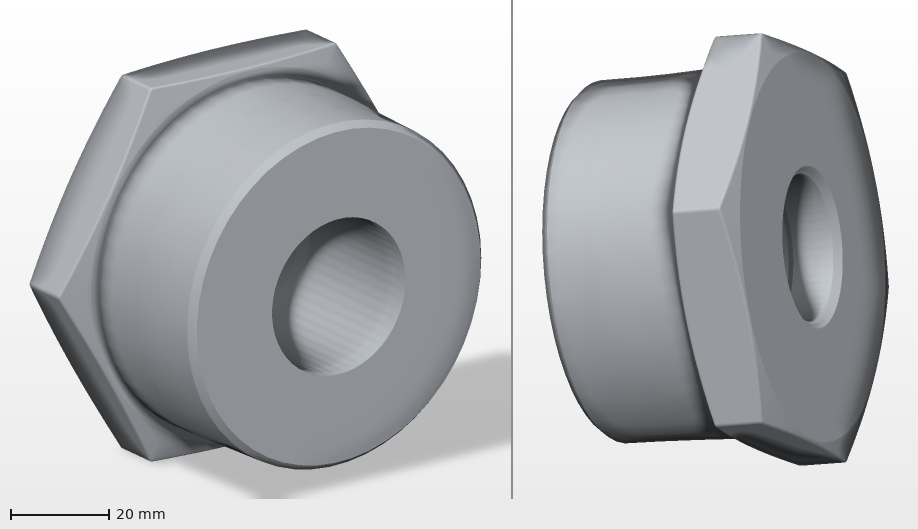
import cadquery as cq
import math

total_length = 45.0
hex_thickness = 14.0

across_flats = 81.0
edge_round = 1.0
rim_round = 0.6
chamfer_angle = 15.0
face_diameter = 79.8
envelope_margin = 0.9

thread_diameter = 75.8
straight_end = 18.4
root_round = 0.3
tip_chamfer_length = 1.6
tip_chamfer_depth = 1.3
taper = 1 / 16

bore_diameter = 30.3
countersink_diameter = 33.3
relief_diameter = 33.65
relief_start = 10.3


def revolve_about_x(points):
    """Revolve a closed (x, radius) outline about the X axis."""
    return cq.Workplane("XY").polyline(points).close().revolve(360, (0, 0, 0), (1, 0, 0))


def hex_head():
    """Hexagon with flats facing +Z and -Z, its corners turned off by a cone on both faces."""
    corner_diameter = across_flats / math.cos(math.radians(30))
    prism = (
        cq.Workplane("YZ")
        .polygon(6, corner_diameter)
        .extrude(hex_thickness)
        .edges("|X")
        .fillet(edge_round)
    )
    face_radius = face_diameter / 2
    outer_radius = corner_diameter / 2 + envelope_margin
    cone_depth = (outer_radius - face_radius) * math.tan(math.radians(chamfer_angle))
    envelope = revolve_about_x([
        (0, 0),
        (0, face_radius),
        (cone_depth, outer_radius),
        (hex_thickness - cone_depth, outer_radius),
        (hex_thickness, face_radius),
        (hex_thickness, 0),
    ])
    head = prism.intersect(envelope)
    return head.edges("not (|X or %CIRCLE)").fillet(rim_round)


def threaded_end():
    """Short cylinder, then a tapered length with a chamfered tip and a rounded root at the head."""
    thread_radius = thread_diameter / 2
    taper_end = total_length - tip_chamfer_length
    taper_end_radius = thread_radius - (taper_end - straight_end) * taper / 2
    root_radius = thread_radius + root_round
    return (
        cq.Workplane("XY")
        .moveTo(0, 0)
        .lineTo(0, root_radius)
        .lineTo(hex_thickness, root_radius)
        .radiusArc((hex_thickness + root_round, thread_radius), -root_round)
        .lineTo(straight_end, thread_radius)
        .lineTo(taper_end, taper_end_radius)
        .lineTo(total_length, taper_end_radius - tip_chamfer_depth)
        .lineTo(total_length, 0)
        .close()
        .revolve(360, (0, 0, 0), (1, 0, 0))
    )


def bore():
    """Through hole, countersunk at the head and opened out to a relief bore by a 45 degree cone."""
    bore_radius = bore_diameter / 2
    countersink_radius = countersink_diameter / 2
    relief_radius = relief_diameter / 2
    return revolve_about_x([
        (0, 0),
        (0, countersink_radius),
        (countersink_radius - bore_radius, bore_radius),
        (relief_start, bore_radius),
        (relief_start + relief_radius - bore_radius, relief_radius),
        (total_length, relief_radius),
        (total_length, 0),
    ])


result = hex_head().union(threaded_end()).cut(bore())